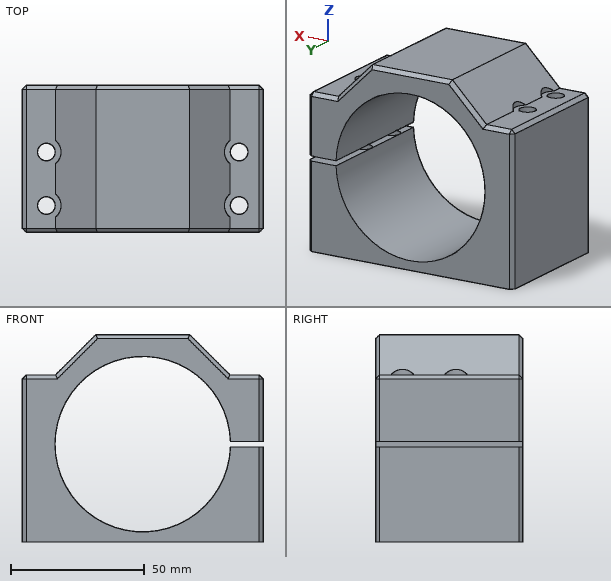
import cadquery as cq

width = 90.0
depth = 55.0
height = 77.5
shoulder_height = 62.5
crown_width = 35.0
edge_chamfer = 1.5

bore_diameter = 65.4
bore_height = 36.5
slit_gap = 2.0

screw_diameter = 6.5
screw_head_diameter = 11.0
screw_x = 36.0
screw_spacing = 20.0
front_screw_y = -17.5
screw_rows = (front_screw_y, front_screw_y + screw_spacing)


def make_body():
    """Block with a 45-degree raised crown and chamfered outer edges."""
    half_width = width / 2
    half_crown = crown_width / 2
    slope_foot = half_crown + height - shoulder_height
    right_side = [
        (half_width, 0),
        (half_width, shoulder_height),
        (slope_foot, shoulder_height),
        (half_crown, height),
    ]
    left_side = [(-x, z) for x, z in reversed(right_side)]
    body = (
        cq.Workplane("XZ")
        .polyline(right_side + left_side)
        .close()
        .extrude(depth / 2, both=True)
    )
    end_edges = body.faces("<Y or >Y").edges("not <Z")
    shoulder_corners = body.faces("<X or >X").edges("|Y and >Z")
    return body.newObject(end_edges.vals() + shoulder_corners.vals()).chamfer(edge_chamfer)


def make_bore():
    """Cylinder passing through the full depth."""
    return (
        cq.Workplane("XZ")
        .center(0, bore_height)
        .circle(bore_diameter / 2)
        .extrude(depth / 2, both=True)
    )


def make_slit():
    """Flat gap from the bore axis to the +X side."""
    return cq.Workplane("XY").box(width / 2, depth, slit_gap).translate((width / 4, 0, bore_height))


def make_screw_holes():
    """Through holes, with screw-head clearance cut into the slopes above the shoulders."""
    positions = [(x, y) for x in (-screw_x, screw_x) for y in screw_rows]
    shanks = cq.Workplane("XY").pushPoints(positions).circle(screw_diameter / 2).extrude(height)
    heads = (
        cq.Workplane("XY", origin=(0, 0, shoulder_height))
        .pushPoints(positions)
        .circle(screw_head_diameter / 2)
        .extrude(height - shoulder_height)
    )
    return shanks.union(heads)


result = make_body().cut(make_bore()).cut(make_slit()).cut(make_screw_holes())